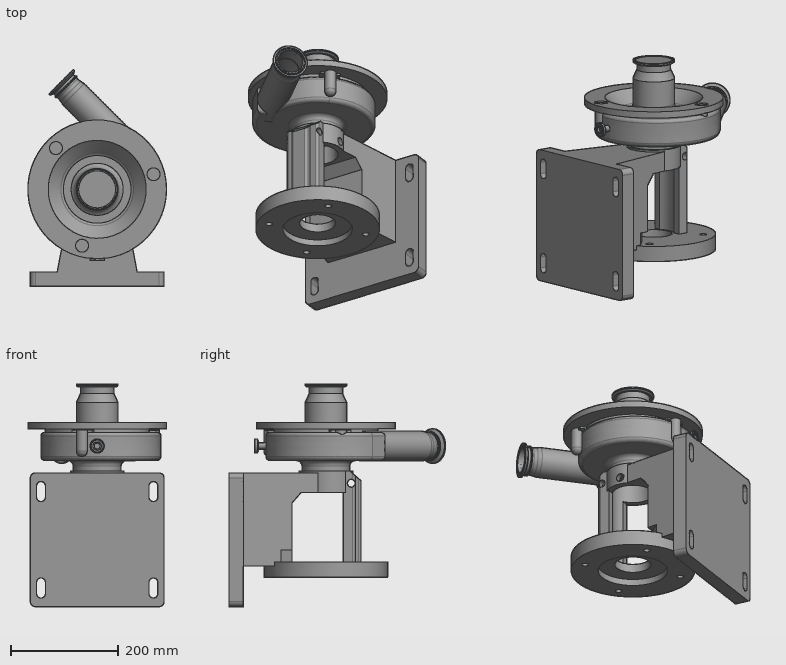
import cadquery as cq
import math


PLATE_SIZE = 250.0
PLATE_THICKNESS = 27.0
PLATE_BACK_Y = -181.0
PLATE_CORNER = 10.0
PLATE_FRONT_Y = PLATE_BACK_Y + PLATE_THICKNESS
SLOT_LENGTH = 37.0
SLOT_WIDTH = 16.0
SLOT_SPACING_X = 210.0
SLOT_SPACING_Z = 180.0

BASE_Z = 55.0
BASE_THICKNESS = 29.0
BASE_RADIUS = 115.5
BASE_BORE_RADIUS = 33.5
BASE_BORE_DEPTH = 16.5
BASE_SPIGOT_RADIUS = 65.0
BASE_BOLT_RADIUS = 92.5
BASE_BOLT_DIAMETER = 12.5
BASE_BOLT_COUNT = 4
BASE_BOLT_ANGLE = 45
BASE_TOP_Z = BASE_Z + BASE_THICKNESS

HUB_RADIUS = 50.3
HUB_BOTTOM_Z = 213.0
HUB_TOP_Z = 253.5
HUB_CAP = 3.5
HUB_BORE_RADIUS = 38.2
HUB_PORT_DIAMETER = 15.5
HUB_PORT_Z = 226.5
WEB_WIDTH_AT_PLATE = 149.5
WEB_WIDTH_AT_HUB = 96.5
WEB_HUB_Y = -14.5
WEB_BOTTOM_Z = 76.0
WEB_INNER_Y = -63.0
WEB_RELIEF = 17.0
WEB_RELIEF_HEIGHT = 19.5
FOOT_NOTCH = 20.8
FOOT_NOTCH_HEIGHT = 22.0

COLUMN_WIDTH = 70.0
COLUMN_FRONT_Y = 32.0
COLUMN_BACK_Y = 55.0
COLUMN_RIB_WIDTH = 35.0
COLUMN_RIB_Y = 65.5
COLUMN_EDGE = 5.0
COLUMN_BEVEL_HEIGHT = 18.3
COLUMN_BEVEL_DEPTH = 20.8
COLUMN_HOLE_DIAMETER = 14.0
COLUMN_HOLE_Y = 47.5
COLUMN_HOLE_Z = 230.5

NECK_RADIUS = 45.0
NECK_FLARE = 10.0
CASING_BOTTOM_Z = 272.5
CASING_TOP_Z = 325.8
CASING_TOP_EDGE = 6.5
CASING_BOTTOM_EDGE = 8.0
VOLUTE_START_RADIUS = 101.5
VOLUTE_END_RADIUS = 122.5
VOLUTE_START_ANGLE = 135
VOLUTE_SWEEP = 270
VOLUTE_STEPS = 12
VOLUTE_LIP = 33.2

COVER_RADIUS = 129.5
COVER_BOTTOM_Z = 332.0
COVER_TOP_Z = 344.0
COLLAR_RADIUS = 97.2
RECESS_RADIUS = 91.5
RECESS_CORNER_RADIUS = 67.7
RECESS_FLOOR_RADIUS = 63.0
RECESS_FLOOR_Z = 317.0
RECESS_CORNER_RISE = 3.5

STUD_CIRCLE_RADIUS = 109.0
STUD_ANGLES = (15, 135, 255)
STUD_RADIUS = 11.0
STUD_BOTTOM_Z = 280.0
STUD_TOP_Z = 329.5
STUD_PAD_WIDTH = 38.2
STUD_PAD_LENGTH = 33.2
STUD_HOLE_RADIUS = 12.0
STUD_HOLE_DEPTH = 2.5

GROOVE_DEPTH = 1.0

INLET_TOP_Z = 415.5
INLET_RADIUS = 39.0
INLET_NECK_RADIUS = 31.5
INLET_CONE_BOTTOM_Z = 381.5
INLET_CONE_TOP_Z = 397.5
INLET_ROOT_RADIUS = 48.5
INLET_ROOT_HEIGHT = 15.8
INLET_RIM = 3.0
INLET_TAPER = 2.5
INLET_TAPER_RADIUS = 35.5
INLET_GROOVE_INNER = 34.5
INLET_GROOVE_OUTER = 37.0

OUTLET_ANGLE = 135
OUTLET_OFFSET = 94.5
OUTLET_Z = 300.0
OUTLET_LENGTH = 189.5
OUTLET_RADIUS = VOLUTE_END_RADIUS - OUTLET_OFFSET
OUTLET_TUBE_RADIUS = 25.8
OUTLET_WELD_RADIUS = 26.5
OUTLET_GROOVE_INNER = 26.0
OUTLET_GROOVE_OUTER = 28.5
OUTLET_FLANGE_RADIUS = 32.5
OUTLET_BORE_RADIUS = 23.3
OUTLET_BORE_DEPTH = 33.5
OUTLET_PIPE_BORE_RADIUS = 24.0
OUTLET_PIPE_BORE_START = 58.0
OUTLET_RIM = 3.5
OUTLET_TAPER = 3.5
OUTLET_BEAD_DISTANCE = 11.5
OUTLET_BEAD_WIDTH = 2.5
OUTLET_TUBE_LENGTH = 18.0
OUTLET_WELD_LENGTH = 7.0
OUTLET_CONE_LENGTH = 8.0

DRAIN_Z = 300.0
DRAIN_END_Y = -133.0
DRAIN_START_Y = -83.0
DRAIN_RADIUS = 6.2
DRAIN_FLANGE_RADIUS = 13.5
DRAIN_FLANGE_THICKNESS = 5.0
DRAIN_TAPER = 2.0
DRAIN_TAPER_RADIUS = 9.0
DRAIN_BORE_RADIUS = 5.5
DRAIN_GROOVE_INNER = 8.0
DRAIN_GROOVE_OUTER = 11.2


def disc(radius, bottom, top):
    """Cylinder on the pump axis."""
    return cq.Workplane("XY").workplane(offset=bottom).circle(radius).extrude(top - bottom)


def gasket_groove(inner, outer, face_z):
    """Ring to be cut from a clamp flange face at a given height."""
    bottom = face_z - GROOVE_DEPTH
    return disc(outer, bottom, face_z).cut(disc(inner, bottom, face_z))


def polar(radius, degrees):
    """Point in the XY plane at a radius and angle."""
    angle = math.radians(degrees)
    return (radius * math.cos(angle), radius * math.sin(angle))


def wall_plate():
    middle_z = PLATE_SIZE / 2
    face = cq.Workplane("XZ", origin=(0, PLATE_FRONT_Y, middle_z))
    plate = face.rect(PLATE_SIZE, PLATE_SIZE).extrude(PLATE_THICKNESS)
    plate = plate.edges("|Y").fillet(PLATE_CORNER)
    slots = (
        face.rect(SLOT_SPACING_X, SLOT_SPACING_Z, forConstruction=True)
        .vertices()
        .slot2D(SLOT_LENGTH, SLOT_WIDTH, 90)
        .extrude(PLATE_THICKNESS)
    )
    return plate.cut(slots)


def base_disc():
    """Motor flange with a shaft bore that opens into a wider seat underneath."""
    base = disc(BASE_RADIUS, BASE_Z, BASE_TOP_Z)
    bore = disc(BASE_BORE_RADIUS, BASE_Z, BASE_TOP_Z)
    motor_seat = disc(BASE_SPIGOT_RADIUS, BASE_Z, BASE_TOP_Z - BASE_BORE_DEPTH)
    return (
        base.cut(bore).cut(motor_seat)
        .faces(">Z").workplane(origin=(0, 0, BASE_TOP_Z))
        .polarArray(BASE_BOLT_RADIUS, BASE_BOLT_ANGLE, 360, BASE_BOLT_COUNT)
        .hole(BASE_BOLT_DIAMETER)
    )


def web():
    """Tapered block from the plate to the hub, undercut to clear the coupling."""
    plan = (
        cq.Workplane("XY").workplane(offset=WEB_BOTTOM_Z)
        .moveTo(-WEB_WIDTH_AT_PLATE / 2, PLATE_FRONT_Y)
        .lineTo(WEB_WIDTH_AT_PLATE / 2, PLATE_FRONT_Y)
        .lineTo(WEB_WIDTH_AT_HUB / 2, WEB_HUB_Y)
        .lineTo(-WEB_WIDTH_AT_HUB / 2, WEB_HUB_Y)
        .close()
        .extrude(PLATE_SIZE - WEB_BOTTOM_Z)
    )
    undercut = (
        cq.Workplane("YZ").workplane(offset=-PLATE_SIZE / 2)
        .moveTo(WEB_INNER_Y, WEB_BOTTOM_Z)
        .lineTo(WEB_INNER_Y, HUB_BOTTOM_Z - WEB_RELIEF_HEIGHT)
        .lineTo(WEB_INNER_Y + WEB_RELIEF, HUB_BOTTOM_Z)
        .lineTo(0, HUB_BOTTOM_Z)
        .lineTo(0, WEB_BOTTOM_Z)
        .close()
        .extrude(PLATE_SIZE)
    )
    block = plan.cut(undercut)

    slope = (WEB_WIDTH_AT_PLATE - WEB_WIDTH_AT_HUB) / 2 / (WEB_HUB_Y - PLATE_FRONT_Y)
    notch_y = WEB_INNER_Y - FOOT_NOTCH
    notch_x = WEB_WIDTH_AT_HUB / 2 + slope * (WEB_HUB_Y - notch_y)
    for side in (-1, 1):
        notch = (
            cq.Workplane("XY").workplane(offset=BASE_TOP_Z)
            .moveTo(side * notch_x, notch_y)
            .lineTo(side * (notch_x - FOOT_NOTCH), WEB_INNER_Y)
            .lineTo(side * notch_x, WEB_INNER_Y)
            .close()
            .extrude(FOOT_NOTCH_HEIGHT)
        )
        block = block.cut(notch)
    return block


def column():
    """Rear column with a narrower back rib and a bevelled top."""
    height = HUB_TOP_Z - BASE_TOP_Z

    def bar(width, back_y):
        depth = back_y - COLUMN_FRONT_Y
        return (
            cq.Workplane("XY", origin=(0, COLUMN_FRONT_Y + depth / 2, BASE_TOP_Z))
            .rect(width, depth).extrude(height)
            .edges("|Z and >Y").fillet(COLUMN_EDGE)
        )

    bevel = (
        cq.Workplane("YZ").workplane(offset=-COLUMN_WIDTH / 2)
        .moveTo(COLUMN_RIB_Y, HUB_TOP_Z)
        .lineTo(COLUMN_RIB_Y - COLUMN_BEVEL_DEPTH, HUB_TOP_Z)
        .lineTo(COLUMN_RIB_Y, HUB_TOP_Z - COLUMN_BEVEL_HEIGHT)
        .close()
        .extrude(COLUMN_WIDTH)
    )
    post = bar(COLUMN_WIDTH, COLUMN_BACK_Y).union(bar(COLUMN_RIB_WIDTH, COLUMN_RIB_Y))
    return post.cut(bevel)


def bracket():
    hub = disc(HUB_RADIUS, HUB_BOTTOM_Z, HUB_TOP_Z)
    shaft_bore = disc(HUB_BORE_RADIUS, BASE_TOP_Z, HUB_TOP_Z - HUB_CAP)
    port = (
        cq.Workplane("YZ", origin=(-HUB_RADIUS, 0, HUB_PORT_Z))
        .circle(HUB_PORT_DIAMETER / 2).extrude(HUB_RADIUS)
    )
    cross_hole = (
        cq.Workplane("YZ", origin=(-HUB_RADIUS, COLUMN_HOLE_Y, COLUMN_HOLE_Z))
        .circle(COLUMN_HOLE_DIAMETER / 2).extrude(2 * HUB_RADIUS)
    )
    upper = hub.union(web()).union(column()).cut(shaft_bore).cut(port).cut(cross_hole)
    return upper.union(base_disc()).union(wall_plate())


def neck():
    """Round neck flaring tangentially into the underside of the casing."""
    flare_z = CASING_BOTTOM_Z - NECK_FLARE
    arc = NECK_FLARE * (1 - math.sqrt(0.5))
    return (
        cq.Workplane("XZ")
        .moveTo(0, HUB_TOP_Z - HUB_CAP)
        .lineTo(NECK_RADIUS, HUB_TOP_Z - HUB_CAP)
        .lineTo(NECK_RADIUS, flare_z)
        .threePointArc(
            (NECK_RADIUS + arc, CASING_BOTTOM_Z - arc),
            (NECK_RADIUS + NECK_FLARE, CASING_BOTTOM_Z),
        )
        .lineTo(NECK_RADIUS + NECK_FLARE, CASING_BOTTOM_Z + CASING_BOTTOM_EDGE)
        .lineTo(0, CASING_BOTTOM_Z + CASING_BOTTOM_EDGE)
        .close()
        .revolve(360, (0, 0, 0), (0, 1, 0))
    )


def volute():
    """Spiral casing whose radius grows evenly up to the outlet."""
    growth = VOLUTE_END_RADIUS - VOLUTE_START_RADIUS
    spiral = []
    for step in range(VOLUTE_STEPS + 1):
        share = step / VOLUTE_STEPS
        angle = VOLUTE_START_ANGLE + VOLUTE_SWEEP * share
        spiral.append(polar(VOLUTE_START_RADIUS + growth * share, angle))

    end_angle = VOLUTE_START_ANGLE + VOLUTE_SWEEP
    lip_x, lip_y = polar(VOLUTE_LIP, OUTLET_ANGLE)
    lip_outer = (spiral[-1][0] + lip_x, spiral[-1][1] + lip_y)
    lip_angle = end_angle + math.degrees(math.asin(VOLUTE_LIP / VOLUTE_START_RADIUS))
    start_angle = VOLUTE_START_ANGLE + 360
    casing = (
        cq.Workplane("XY").workplane(offset=CASING_BOTTOM_Z)
        .moveTo(*spiral[0])
        .spline(spiral[1:], includeCurrent=True)
        .lineTo(*lip_outer)
        .lineTo(*polar(VOLUTE_START_RADIUS, lip_angle))
        .threePointArc(polar(VOLUTE_START_RADIUS, (lip_angle + start_angle) / 2), spiral[0])
        .close()
        .extrude(CASING_TOP_Z - CASING_BOTTOM_Z)
    )
    casing = casing.faces("<Z").edges().fillet(CASING_BOTTOM_EDGE)
    return casing.faces(">Z").edges().fillet(CASING_TOP_EDGE)


def studs():
    """Round-ended bosses, each standing at the edge of a flat pad on the casing."""
    shoulder_z = STUD_BOTTOM_Z + STUD_RADIUS
    pad_height = STUD_TOP_Z - CASING_TOP_Z
    bosses = cq.Workplane("XY")
    for angle in STUD_ANGLES:
        centre = cq.Workplane("XY", origin=(STUD_CIRCLE_RADIUS, 0, shoulder_z))
        shank = centre.circle(STUD_RADIUS).extrude(STUD_TOP_Z - shoulder_z)
        pad = cq.Workplane("XY").box(
            STUD_PAD_LENGTH, STUD_PAD_WIDTH, pad_height, centered=(False, True, False)
        ).translate((STUD_CIRCLE_RADIUS - STUD_PAD_LENGTH, 0, CASING_TOP_Z))
        boss = shank.union(centre.sphere(STUD_RADIUS)).union(pad)
        bosses = bosses.union(boss.rotate((0, 0, 0), (0, 0, 1), angle))
    return bosses


def stud_holes():
    return (
        cq.Workplane("XY").workplane(offset=COVER_TOP_Z - STUD_HOLE_DEPTH)
        .pushPoints([polar(STUD_CIRCLE_RADIUS, angle) for angle in STUD_ANGLES])
        .circle(STUD_HOLE_RADIUS)
        .extrude(STUD_HOLE_DEPTH)
    )


def cover_recess():
    """Dished recess around the inlet nozzle."""
    return (
        cq.Workplane("XZ")
        .moveTo(0, RECESS_FLOOR_Z)
        .lineTo(RECESS_FLOOR_RADIUS, RECESS_FLOOR_Z)
        .lineTo(RECESS_CORNER_RADIUS, RECESS_FLOOR_Z + RECESS_CORNER_RISE)
        .lineTo(RECESS_RADIUS, COVER_TOP_Z)
        .lineTo(0, COVER_TOP_Z)
        .close()
        .revolve(360, (0, 0, 0), (0, 1, 0))
    )


def inlet():
    root_width = INLET_ROOT_RADIUS - INLET_RADIUS
    root_radius = (root_width ** 2 + INLET_ROOT_HEIGHT ** 2) / (2 * root_width)
    root_angle = math.asin(INLET_ROOT_HEIGHT / root_radius)
    root_z = RECESS_FLOOR_Z + INLET_ROOT_HEIGHT
    rim_z = INLET_TOP_Z - INLET_RIM
    nozzle = (
        cq.Workplane("XZ")
        .moveTo(0, RECESS_FLOOR_Z)
        .lineTo(INLET_ROOT_RADIUS, RECESS_FLOOR_Z)
        .threePointArc(
            (INLET_RADIUS + root_radius - root_radius * math.cos(root_angle / 2),
             root_z - root_radius * math.sin(root_angle / 2)),
            (INLET_RADIUS, root_z),
        )
        .lineTo(INLET_RADIUS, INLET_CONE_BOTTOM_Z)
        .lineTo(INLET_NECK_RADIUS, INLET_CONE_TOP_Z)
        .lineTo(INLET_NECK_RADIUS, rim_z - INLET_TAPER)
        .lineTo(INLET_TAPER_RADIUS, rim_z - INLET_TAPER)
        .lineTo(INLET_RADIUS, rim_z)
        .lineTo(INLET_RADIUS, INLET_TOP_Z)
        .lineTo(0, INLET_TOP_Z)
        .close()
        .revolve(360, (0, 0, 0), (0, 1, 0))
    )
    return nozzle.cut(gasket_groove(INLET_GROOVE_INNER, INLET_GROOVE_OUTER, INLET_TOP_Z))


def place_outlet(body):
    """Turn a body built along Z onto the outlet axis."""
    x, y = polar(OUTLET_OFFSET, OUTLET_ANGLE - 90)
    return (
        body.rotate((0, 0, 0), (0, 1, 0), 90)
        .rotate((0, 0, 0), (0, 0, 1), OUTLET_ANGLE)
        .translate((x, y, OUTLET_Z))
    )


def outlet():
    rim = OUTLET_LENGTH - OUTLET_RIM
    tube_start = OUTLET_LENGTH - OUTLET_TUBE_LENGTH
    weld_start = tube_start - OUTLET_WELD_LENGTH
    bead_top = OUTLET_LENGTH - OUTLET_BEAD_DISTANCE
    pipe = (
        cq.Workplane("XZ")
        .lineTo(OUTLET_RADIUS, 0)
        .lineTo(OUTLET_RADIUS, weld_start - OUTLET_CONE_LENGTH)
        .lineTo(OUTLET_WELD_RADIUS, weld_start)
        .lineTo(OUTLET_TUBE_RADIUS, tube_start)
        .lineTo(OUTLET_TUBE_RADIUS, rim - OUTLET_TAPER)
        .lineTo(OUTLET_FLANGE_RADIUS, rim)
        .lineTo(OUTLET_FLANGE_RADIUS, OUTLET_LENGTH)
        .lineTo(0, OUTLET_LENGTH)
        .close()
        .revolve(360, (0, 0, 0), (0, 1, 0))
    )
    bead = disc(OUTLET_RADIUS, bead_top - OUTLET_BEAD_WIDTH, bead_top)
    groove = gasket_groove(OUTLET_GROOVE_INNER, OUTLET_GROOVE_OUTER, OUTLET_LENGTH)
    return place_outlet(pipe.union(bead).cut(groove))


def outlet_bore():
    step = OUTLET_LENGTH - OUTLET_BORE_DEPTH
    mouth = disc(OUTLET_BORE_RADIUS, step, OUTLET_LENGTH)
    return place_outlet(mouth.union(disc(OUTLET_PIPE_BORE_RADIUS, OUTLET_PIPE_BORE_START, step)))


def drain():
    length = DRAIN_START_Y - DRAIN_END_Y
    rim = length - DRAIN_FLANGE_THICKNESS
    port = (
        cq.Workplane("XZ")
        .lineTo(DRAIN_RADIUS, 0)
        .lineTo(DRAIN_RADIUS, rim - DRAIN_TAPER)
        .lineTo(DRAIN_TAPER_RADIUS, rim - DRAIN_TAPER)
        .lineTo(DRAIN_FLANGE_RADIUS, rim)
        .lineTo(DRAIN_FLANGE_RADIUS, length)
        .lineTo(0, length)
        .close()
        .revolve(360, (0, 0, 0), (0, 1, 0))
    )
    groove = gasket_groove(DRAIN_GROOVE_INNER, DRAIN_GROOVE_OUTER, length)
    bore = disc(DRAIN_BORE_RADIUS, rim, length)
    port = port.cut(groove).cut(bore)
    return port.rotate((0, 0, 0), (1, 0, 0), 90).translate((0, DRAIN_START_Y, DRAIN_Z))


def pump():
    collar = disc(COLLAR_RADIUS, CASING_TOP_Z, COVER_BOTTOM_Z)
    cover = disc(COVER_RADIUS, COVER_BOTTOM_Z, COVER_TOP_Z)
    body = volute().union(neck()).union(collar).union(cover).union(studs())
    body = body.cut(stud_holes()).cut(cover_recess())
    return body.union(inlet()).union(outlet()).union(drain()).cut(outlet_bore())


result = bracket().union(pump())